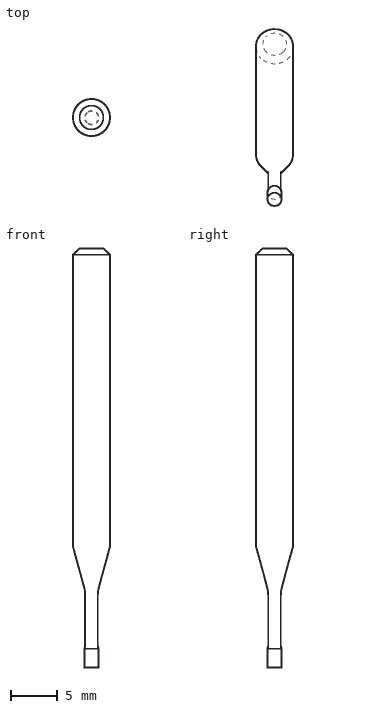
import cadquery as cq

total_length = 45.0
tip_length = 2.02
step_top = 2.3
neck_top = 7.85
cone_bottom = 8.65
cone_top = 13.0

shank_radius = 4.0 / 2
tip_radius = 1.55 / 2
neck_radius = 1.4 / 2
flare_radius = 1.6 / 2

end_chamfer_height = 0.68
end_chamfer_width = 0.7

flare_mid_radius = neck_radius + (flare_radius - neck_radius) / 4
flare_mid_height = (neck_top + cone_bottom) / 2


def make_tip():
    """Cylindrical cutting tip that butts against the holder."""
    return cq.Workplane("XY").circle(tip_radius).extrude(tip_length)


def make_holder():
    """Turned holder: step, slim neck, flare, cone and chamfered shank."""
    profile = (
        cq.Workplane("XZ")
        .moveTo(0, tip_length)
        .lineTo(tip_radius, tip_length)
        .lineTo(neck_radius, step_top)
        .lineTo(neck_radius, neck_top)
        .threePointArc((flare_mid_radius, flare_mid_height), (flare_radius, cone_bottom))
        .lineTo(shank_radius, cone_top)
        .lineTo(shank_radius, total_length - end_chamfer_height)
        .lineTo(shank_radius - end_chamfer_width, total_length)
        .lineTo(0, total_length)
        .close()
    )
    return profile.revolve(360, (0, 0, 0), (0, 1, 0))


tip = make_tip()
holder = make_holder()
result = cq.Compound.makeCompound([tip.val(), holder.val()])